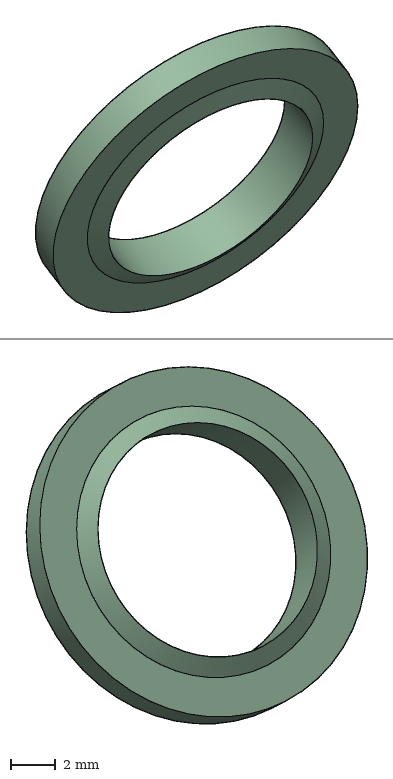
import cadquery as cq

outer_diameter = 16.0
bore_diameter = 10.7
lip_base_diameter = 12.4
total_width = 2.4
disc_width = 1.5

outer_radius = outer_diameter / 2
bore_radius = bore_diameter / 2
lip_base_radius = lip_base_diameter / 2
half_width = total_width / 2
half_disc = disc_width / 2

section = (
    cq.Workplane("XY")
    .moveTo(-half_width, bore_radius)
    .lineTo(-half_disc, lip_base_radius)
    .lineTo(-half_disc, outer_radius)
    .lineTo(half_disc, outer_radius)
    .lineTo(half_disc, lip_base_radius)
    .lineTo(half_width, bore_radius)
    .close()
)

result = section.revolve(360, (0, 0, 0), (1, 0, 0))